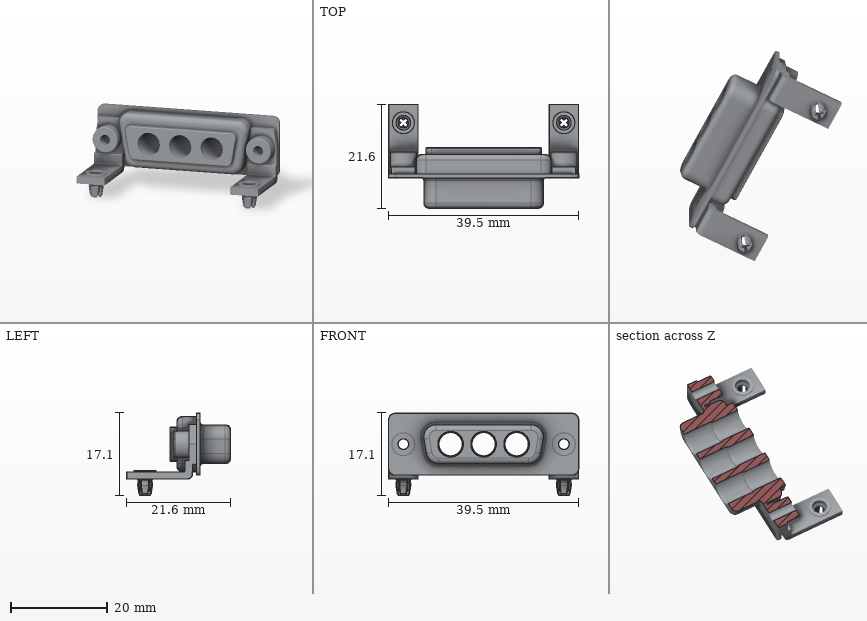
import cadquery as cq
import math


OVERALL_DEPTH = 21.6
OVERALL_HEIGHT = 17.07

PLATE_WIDTH = 39.52
PLATE_HEIGHT = 12.88
PLATE_THICKNESS = 0.79
PLATE_CORNER_RADIUS = 1.45

D_SIDE_ANGLE = 10.0
FRONT_HALF_WIDTH = 12.43
FRONT_HALF_HEIGHT = 4.03
FRONT_CORNER_RADIUS = 2.55
FRONT_LENGTH = 6.32
FRONT_EDGE_RADIUS = 1.14
FRONT_ROOT_RADIUS = 0.54
REAR_HALF_WIDTH = 13.98
REAR_HALF_HEIGHT = 5.75
REAR_CORNER_RADIUS = 2.03
REAR_END = 4.85
REAR_EDGE_RADIUS = 1.18
INSERT_HALF_WIDTH = 11.97
INSERT_HALF_HEIGHT = 3.56
INSERT_CORNER_RADIUS = 1.12
INSERT_END = 6.3
INSERT_EDGE_RADIUS = 0.22

CAVITY_PITCH = 6.85
CAVITY_DIAMETER = 4.83
CAVITY_MOUTH_DIAMETER = 5.32

MOUNT_X = 16.66
BRACKET_WIDTH = 6.1
BRACKET_TOP_WIDTH = 4.86
BRACKET_THICKNESS = 1.5
BRACKET_TOP = 4.1
BRACKET_BOTTOM = -7.25
BRACKET_END = OVERALL_DEPTH - FRONT_LENGTH
BRACKET_JOG = 0.83
JOG_FRONT_Z = -4.2
JOG_REAR_Z = -3.43
JOG_RADIUS = 0.25
BEND_INNER_RADIUS = 0.4
BEND_OUTER_RADIUS = 1.05

RIVET_BOSS_DIAMETER = 5.46
RIVET_HEAD_DIAMETER = 4.75
RIVET_HOLE_DIAMETER = 2.15
RIVET_END = 5.4
RIVET_EDGE_RADIUS = 0.22

LOCK_Y = 11.45
LOCK_RIM_DIAMETER = 4.54
LOCK_RIM_HEIGHT = 0.25
LOCK_BOTTOM = PLATE_HEIGHT / 2 - OVERALL_HEIGHT
LOCK_ROOT_RADIUS = 1.6
LOCK_NECK_RADIUS = 1.46
LOCK_NECK_DROP = 0.19
LOCK_BELLY_RADIUS = 1.56
LOCK_BELLY_DROP = 1.28
LOCK_TIP_RADIUS = 1.28
LOCK_END_RADIUS = 1.05
LOCK_TIP_CHAMFER = 0.36
LOCK_SOCKET_RADIUS = 1.52
LOCK_SOCKET_DEPTH = 1.0
LOCK_FUNNEL_DEPTH = 0.3
LOCK_BORE_RADIUS = 1.05
LOCK_BORE_DROP = 2.4
LOCK_SLOT_WIDTH = 0.74


def y_cylinder(x, diameter, y_start, y_end):
    """Cylinder along Y at height Z = 0."""
    base = cq.Workplane("XZ", origin=(x, y_start, 0))
    return base.circle(diameter / 2).extrude(y_start - y_end)


def d_prism(half_width, half_height, corner_radius, y_start, y_end):
    """Rounded D outline, wider at the top, extruded along Y."""
    angle = math.radians(D_SIDE_ANGLE)
    arc_centre_x = half_width - corner_radius
    arc_centre_z = half_height - corner_radius
    mid_x = arc_centre_x + corner_radius / math.cos(angle) - arc_centre_z * math.tan(angle)
    lean = half_height * math.tan(angle)
    corners = [
        (-mid_x - lean, half_height),
        (mid_x + lean, half_height),
        (mid_x - lean, -half_height),
        (-mid_x + lean, -half_height),
    ]
    prism = cq.Workplane("XZ", origin=(0, y_start, 0)).polyline(corners).close().extrude(y_start - y_end)
    return prism.edges("|Y").fillet(corner_radius)


def make_plate():
    """Flange plate with rounded corners."""
    plate = cq.Workplane("XY").box(PLATE_WIDTH, PLATE_THICKNESS, PLATE_HEIGHT, centered=(True, False, True))
    return plate.edges("|Y").fillet(PLATE_CORNER_RADIUS)


def make_body():
    """Plate with the front shell, rear shell and rear insert."""
    front = d_prism(FRONT_HALF_WIDTH, FRONT_HALF_HEIGHT, FRONT_CORNER_RADIUS, -FRONT_LENGTH, PLATE_THICKNESS)
    front = front.faces("<Y").edges().fillet(FRONT_EDGE_RADIUS)
    rear = d_prism(REAR_HALF_WIDTH, REAR_HALF_HEIGHT, REAR_CORNER_RADIUS, 0, REAR_END)
    rear = rear.faces(">Y").edges().fillet(REAR_EDGE_RADIUS)
    insert = d_prism(INSERT_HALF_WIDTH, INSERT_HALF_HEIGHT, INSERT_CORNER_RADIUS, 0, INSERT_END)
    insert = insert.faces(">Y").edges().fillet(INSERT_EDGE_RADIUS)

    flanged = make_plate().union(front)
    reach_x = FRONT_HALF_WIDTH + FRONT_ROOT_RADIUS
    reach_z = FRONT_HALF_HEIGHT + FRONT_ROOT_RADIUS
    root_zone = cq.selectors.BoxSelector(
        (-reach_x, -FRONT_ROOT_RADIUS / 2, -reach_z),
        (reach_x, PLATE_THICKNESS / 2, reach_z),
        boundingbox=True,
    )
    flanged = flanged.edges(root_zone).fillet(FRONT_ROOT_RADIUS)
    return flanged.union(rear).union(insert)


def cut_cavities(body):
    """Cut the three through cavities with their wider mouths."""
    for index in (-1, 0, 1):
        x = index * CAVITY_PITCH
        body = body.cut(y_cylinder(x, CAVITY_DIAMETER, -FRONT_LENGTH, INSERT_END))
        body = body.cut(y_cylinder(x, CAVITY_MOUTH_DIAMETER, -FRONT_LENGTH, 0))
    return body


def make_bracket(x):
    """Jogged angle bracket whose upright tapers above Z = 0."""
    front_y = PLATE_THICKNESS
    rear_y = front_y + BRACKET_THICKNESS
    jog_front_y = front_y + BRACKET_JOG
    jog_rear_y = rear_y + BRACKET_JOG
    foot_top = BRACKET_BOTTOM + BRACKET_THICKNESS
    profile = [
        (front_y, BRACKET_TOP),
        (rear_y, BRACKET_TOP),
        (rear_y, JOG_REAR_Z),
        (jog_rear_y, JOG_REAR_Z),
        (jog_rear_y, foot_top),
        (BRACKET_END, foot_top),
        (BRACKET_END, BRACKET_BOTTOM),
        (jog_front_y, BRACKET_BOTTOM),
        (jog_front_y, JOG_FRONT_Z),
        (front_y, JOG_FRONT_Z),
    ]
    bracket = cq.Workplane("YZ").polyline(profile).close().extrude(BRACKET_WIDTH / 2, both=True)

    bends = [
        (rear_y, JOG_REAR_Z, JOG_RADIUS),
        (jog_rear_y, JOG_REAR_Z, JOG_RADIUS),
        (jog_front_y, JOG_FRONT_Z, JOG_RADIUS),
        (front_y, JOG_FRONT_Z, JOG_RADIUS),
        (jog_rear_y, foot_top, BEND_INNER_RADIUS),
        (jog_front_y, BRACKET_BOTTOM, BEND_OUTER_RADIUS),
    ]
    for bend_y, bend_z, radius in bends:
        bend_edge = cq.selectors.NearestToPointSelector((0, bend_y, bend_z))
        bracket = bracket.edges("|X").edges(bend_edge).fillet(radius)

    silhouette = [
        (-BRACKET_WIDTH / 2, BRACKET_BOTTOM),
        (-BRACKET_WIDTH / 2, 0),
        (-BRACKET_TOP_WIDTH / 2, BRACKET_TOP),
        (BRACKET_TOP_WIDTH / 2, BRACKET_TOP),
        (BRACKET_WIDTH / 2, 0),
        (BRACKET_WIDTH / 2, BRACKET_BOTTOM),
    ]
    envelope = cq.Workplane("XZ").polyline(silhouette).close().extrude(-BRACKET_END)
    return bracket.intersect(envelope).translate((x, 0, 0))


def make_rivet_boss(x):
    """Cylindrical rivet boss behind the plate."""
    boss = y_cylinder(x, RIVET_BOSS_DIAMETER, PLATE_THICKNESS, RIVET_END)
    return boss.faces(">Y").edges().fillet(RIVET_EDGE_RADIUS)


def make_lock(x):
    """Rim and four-legged barrel of a board lock, before boring."""
    rim_top = BRACKET_BOTTOM + BRACKET_THICKNESS + LOCK_RIM_HEIGHT
    barrel_profile = [
        (0, rim_top),
        (LOCK_RIM_DIAMETER / 2, rim_top),
        (LOCK_RIM_DIAMETER / 2, rim_top - LOCK_RIM_HEIGHT),
        (LOCK_ROOT_RADIUS, rim_top - LOCK_RIM_HEIGHT),
        (LOCK_ROOT_RADIUS, BRACKET_BOTTOM),
        (LOCK_NECK_RADIUS, BRACKET_BOTTOM - LOCK_NECK_DROP),
        (LOCK_BELLY_RADIUS, BRACKET_BOTTOM - LOCK_BELLY_DROP),
        (LOCK_TIP_RADIUS, LOCK_BOTTOM + LOCK_TIP_CHAMFER),
        (LOCK_END_RADIUS, LOCK_BOTTOM),
        (0, LOCK_BOTTOM),
    ]
    barrel = cq.Workplane("XZ").polyline(barrel_profile).close().revolve(360, (0, 0), (0, 1))
    slot_height = BRACKET_BOTTOM - LOCK_BOTTOM
    for angle in (45, -45):
        slot = cq.Workplane("XY", origin=(0, 0, LOCK_BOTTOM))
        slot = slot.box(LOCK_RIM_DIAMETER, LOCK_SLOT_WIDTH, slot_height, centered=(True, True, False))
        barrel = barrel.cut(slot.rotate((0, 0, 0), (0, 0, 1), angle))
    return barrel.translate((x, LOCK_Y, 0))


def make_lock_bore(x):
    """Socket, funnel and blind bore through the rim and into the legs."""
    rim_top = BRACKET_BOTTOM + BRACKET_THICKNESS + LOCK_RIM_HEIGHT
    bore_bottom = BRACKET_BOTTOM - LOCK_BORE_DROP
    bore_profile = [
        (0, rim_top),
        (LOCK_SOCKET_RADIUS, rim_top),
        (LOCK_SOCKET_RADIUS, rim_top - LOCK_SOCKET_DEPTH),
        (LOCK_BORE_RADIUS, rim_top - LOCK_SOCKET_DEPTH - LOCK_FUNNEL_DEPTH),
        (LOCK_BORE_RADIUS, bore_bottom),
        (0, bore_bottom),
    ]
    bore = cq.Workplane("XZ").polyline(bore_profile).close().revolve(360, (0, 0), (0, 1))
    return bore.translate((x, LOCK_Y, 0))


result = cut_cavities(make_body())
for mount_x in (-MOUNT_X, MOUNT_X):
    result = result.union(make_bracket(mount_x))
    result = result.union(make_rivet_boss(mount_x))
    result = result.union(make_lock(mount_x))
    result = result.cut(make_lock_bore(mount_x))

for mount_x in (-MOUNT_X, MOUNT_X):
    rivet_head = y_cylinder(mount_x, RIVET_HEAD_DIAMETER, 0, PLATE_THICKNESS)
    rivet_hole = y_cylinder(mount_x, RIVET_HOLE_DIAMETER, 0, RIVET_END)
    result = result.cut(rivet_head, clean=False)
    result = result.union(rivet_head, clean=False)
    result = result.cut(rivet_hole, clean=False)